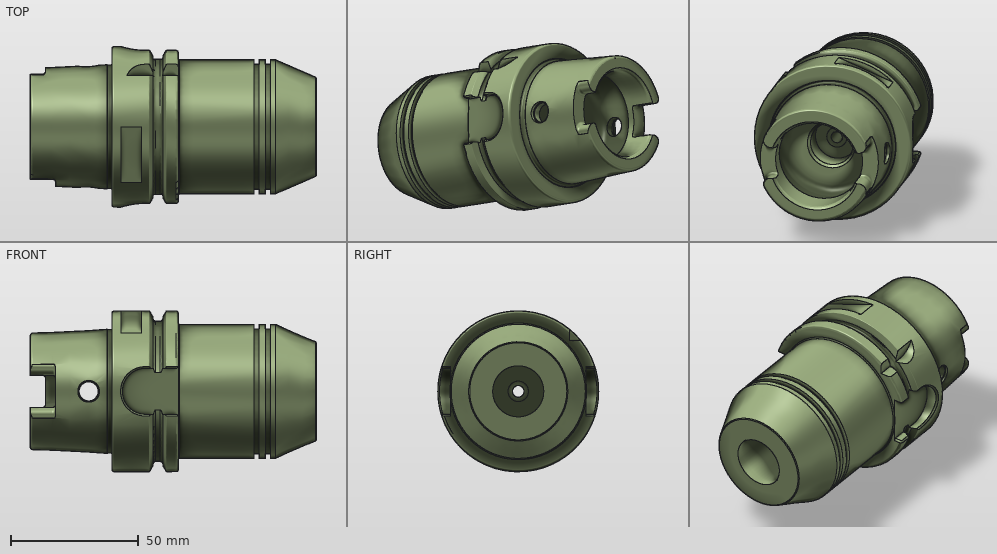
import cadquery as cq
import math


shank_length = 32.0
taper_ratio = 0.1
shank_base_diameter = 48.84
shank_tip_diameter = shank_base_diameter - taper_ratio * shank_length
shank_tip_fillet = 1.2
relief_length = 1.9
relief_depth = 0.2
relief_root_fillet = 0.7
face_recess_diameter = 51.0
face_recess_depth = 0.3

flange_diameter = 63.0
flange_width = 26.0
flange_edge_fillet = 1.0
flange_root_fillet = 0.5

groove_center = 18.0
groove_mouth_width = 6.6
groove_slot_width = 3.8
groove_flank_angle = 30.0
groove_diameter = 55.0
groove_root_fillet = 1.0
groove_edge_fillet = 0.5

nose_length = 80.0
nose_diameter = 52.5
cone_start = 64.0
nose_tip_diameter = 38.6
nose_tip_chamfer = 0.3
ring_groove_starts = (55.6, 60.0)
ring_groove_width = 2.0
ring_groove_diameter = 49.0

cavity_diameter = 34.0
cavity_mouth_diameter = 36.0
cavity_mouth_chamfer = (cavity_mouth_diameter - cavity_diameter) / 2
cavity_mouth_fillet = 1.0
cavity_floor = -2.2
cavity_floor_fillet = 4.0
undercut_diameter = 40.0
undercut_start = -19.2
undercut_flank_angle = 30.0
recess_mouth_diameter = 19.05
recess_diameter = 17.0
recess_depth = 10.0
recess_floor = cavity_floor + recess_depth
recess_chamfer = (recess_mouth_diameter - recess_diameter) / 2
tool_bore_diameter = 20.0
tool_bore_depth = 51.0
tool_bore_floor = nose_length - tool_bore_depth

sleeve_diameter = 8.0
coolant_diameter = 4.5

slot_half_width = 6.27
slot_edge_radius = 2.9
slot_root_fillet = 1.25
slot_depths = {-1: 10.0, 1: 6.0}

cross_hole_position = -9.1
cross_hole_diameter = 7.5
cross_hole_chamfer = 0.5
countersink_floor = 22.8

round_end_center = 13.1

keyway_floor = 26.5
keyway_width = 18.0
keyway_rim_chamfer = 0.7

notch_floor = 20.07
notch_bottom = 19.8
notch_radius = 8.0

flat_start = 3.6
flat_width = 7.9
flat_distance = 29.25
flat_tilt = 21.8

tolerance = 1e-4

flange_radius = flange_diameter / 2
nose_radius = nose_diameter / 2


groove_mouth_half = groove_mouth_width / 2
groove_slot_half = groove_slot_width / 2
groove_shoulder_radius = flange_radius - (groove_mouth_half - groove_slot_half) / math.tan(
    math.radians(groove_flank_angle)
)


def revolve_x(profile):
    return profile.close().revolve(360, (0, 0, 0), (1, 0, 0))


def disc(start, end, radius):
    """Cylinder along X from start to end."""
    return cq.Workplane("YZ", origin=(start, 0, 0)).circle(radius).extrude(end - start)


def circles(body, x, radius):
    """Circular edges about the X axis with the given place and radius."""

    def matches(edge):
        return math.isclose(edge.radius(), radius, abs_tol=tolerance) and math.isclose(
            edge.arcCenter().x, x, abs_tol=tolerance
        )

    return body.edges("%CIRCLE").filter(matches)


def turned_blank():
    relief_radius = shank_base_diameter / 2 - relief_depth
    blank = revolve_x(
        cq.Workplane("XY")
        .moveTo(-shank_length, 0)
        .lineTo(-shank_length, shank_tip_diameter / 2)
        .lineTo(-relief_length, (shank_base_diameter - taper_ratio * relief_length) / 2)
        .lineTo(-relief_length + relief_depth, relief_radius)
        .lineTo(face_recess_depth - relief_root_fillet, relief_radius)
        .radiusArc((face_recess_depth, relief_radius + relief_root_fillet), -relief_root_fillet)
        .lineTo(face_recess_depth, face_recess_diameter / 2 - face_recess_depth)
        .lineTo(0, face_recess_diameter / 2)
        .lineTo(0, flange_radius)
        .lineTo(flange_width, flange_radius)
        .lineTo(flange_width, nose_radius)
        .lineTo(cone_start, nose_radius)
        .lineTo(nose_length, nose_tip_diameter / 2)
        .lineTo(nose_length, 0)
    )
    blank = circles(blank, -shank_length, shank_tip_diameter / 2).fillet(shank_tip_fillet)
    blank = circles(blank, 0, flange_radius).fillet(flange_edge_fillet)
    blank = circles(blank, flange_width, flange_radius).fillet(flange_edge_fillet)
    blank = circles(blank, flange_width, nose_radius).fillet(flange_root_fillet)
    return circles(blank, nose_length, nose_tip_diameter / 2).chamfer(nose_tip_chamfer)


def cut_gripper_groove(body):
    groove = revolve_x(
        cq.Workplane("XY")
        .moveTo(groove_center - groove_mouth_half, flange_radius)
        .lineTo(groove_center - groove_slot_half, groove_shoulder_radius)
        .lineTo(groove_center - groove_slot_half, groove_diameter / 2)
        .lineTo(groove_center + groove_slot_half, groove_diameter / 2)
        .lineTo(groove_center + groove_slot_half, groove_shoulder_radius)
        .lineTo(groove_center + groove_mouth_half, flange_radius)
    )
    body = body.cut(groove)
    for side in (-1, 1):
        root_x = groove_center + side * groove_slot_half
        mouth_x = groove_center + side * groove_mouth_half
        body = circles(body, root_x, groove_diameter / 2).fillet(groove_root_fillet)
        body = circles(body, mouth_x, flange_radius).fillet(groove_edge_fillet)
    return body


def cut_ring_grooves(body):
    for start in ring_groove_starts:
        end = start + ring_groove_width
        ring = disc(start, end, nose_radius).cut(disc(start, end, ring_groove_diameter / 2))
        body = body.cut(ring)
    return body


def cut_bores(body):
    mouth_radius = cavity_diameter / 2
    undercut_radius = undercut_diameter / 2
    flank_length = (undercut_radius - mouth_radius) * math.tan(math.radians(undercut_flank_angle))
    cavity = revolve_x(
        cq.Workplane("XY")
        .moveTo(-shank_length, 0)
        .lineTo(-shank_length, mouth_radius)
        .lineTo(undercut_start, mouth_radius)
        .lineTo(undercut_start + flank_length, undercut_radius)
        .lineTo(cavity_floor, undercut_radius)
        .lineTo(cavity_floor, 0)
    )
    cavity = cavity.faces(">X").edges().fillet(cavity_floor_fillet)
    body = body.cut(cavity)
    body = circles(body, -shank_length, mouth_radius).chamfer(cavity_mouth_chamfer)
    chamfer_end = -shank_length + cavity_mouth_chamfer
    body = circles(body, chamfer_end, mouth_radius).fillet(cavity_mouth_fillet)
    body = body.cut(disc(cavity_floor, recess_floor, recess_diameter / 2))
    body = circles(body, cavity_floor, recess_diameter / 2).chamfer(recess_chamfer)
    body = body.cut(disc(tool_bore_floor, nose_length, tool_bore_diameter / 2))
    return body.cut(disc(recess_floor, tool_bore_floor, sleeve_diameter / 2))


def cut_drive_slots(body):
    """Slots across the tip whose walls roll over tangentially into the shank surface."""
    tip_radius = shank_tip_diameter / 2
    center_z = slot_half_width + slot_edge_radius
    center_y = math.sqrt((tip_radius - slot_edge_radius) ** 2 - center_z**2)
    end_angle = math.atan2(center_z, center_y)
    middle_angle = (end_angle - math.pi / 2) / 2
    arc_middle = (
        center_y + slot_edge_radius * math.cos(middle_angle),
        center_z + slot_edge_radius * math.sin(middle_angle),
    )
    arc_end = (tip_radius * math.cos(end_angle), tip_radius * math.sin(end_angle))
    outside = (flange_radius * math.cos(end_angle), flange_radius * math.sin(end_angle))
    for side, depth in slot_depths.items():
        half = (
            cq.Workplane("YZ", origin=(-shank_length, 0, 0))
            .lineTo(0, slot_half_width)
            .lineTo(side * center_y, slot_half_width)
            .threePointArc((side * arc_middle[0], arc_middle[1]), (side * arc_end[0], arc_end[1]))
            .lineTo(side * outside[0], outside[1])
            .lineTo(side * outside[0], 0)
            .close()
            .extrude(depth)
        )
        slot = half.union(half.mirror("XY")).clean()
        slot = slot.faces(">X").edges().fillet(slot_root_fillet)
        body = body.cut(slot)
    return body


def cut_cross_hole(body):
    def across(radius):
        return (
            cq.Workplane("XZ", origin=(cross_hole_position, 0, 0))
            .circle(radius)
            .extrude(flange_radius, both=True)
        )

    countersink = across(cross_hole_diameter / 2 + cross_hole_chamfer).cut(
        disc(-shank_length, 0, countersink_floor)
    )
    return body.cut(across(cross_hole_diameter / 2)).cut(countersink)


def cut_keyways(body):
    half_width = keyway_width / 2
    for side in (-1, 1):
        keyway = (
            cq.Workplane("XZ", origin=(0, side * keyway_floor, 0))
            .moveTo(flange_width, -half_width)
            .lineTo(round_end_center, -half_width)
            .threePointArc((round_end_center - half_width, 0), (round_end_center, half_width))
            .lineTo(flange_width, half_width)
            .close()
            .extrude(-side * flange_radius)
        )
        rim = cq.selectors.BoxSelector(
            (round_end_center - half_width, side * keyway_floor, -keyway_width),
            (flange_width - flange_edge_fillet, side * flange_radius, keyway_width),
        )
        body = body.cut(keyway)
        floor_plane = cq.selectors.BoxSelector(
            (0, side * (keyway_floor - tolerance), -keyway_width),
            (flange_width, side * (keyway_floor + tolerance), keyway_width),
        )
        body = body.edges(rim - floor_plane).chamfer(keyway_rim_chamfer)
    return body


def cut_orientation_notch(body):
    top = notch_bottom + 2 * notch_radius
    notch = (
        cq.Workplane("XZ", origin=(0, notch_floor, 0))
        .moveTo(flange_width, notch_bottom)
        .lineTo(round_end_center, notch_bottom)
        .radiusArc((round_end_center, top), notch_radius)
        .lineTo(flange_width, top)
        .close()
        .extrude(-flange_radius)
    )
    return body.cut(notch)


def cut_flat(body):
    block = (
        cq.Workplane("XY")
        .box(flat_width, flange_diameter, flange_radius, centered=(False, True, False))
        .translate((flat_start, 0, flat_distance))
        .rotate((0, 0, 0), (1, 0, 0), flat_tilt)
    )
    return body.cut(block)


def make_holder():
    body = cut_keyways(turned_blank())
    body = cut_gripper_groove(body)
    body = cut_ring_grooves(body)
    body = cut_bores(body)
    body = cut_drive_slots(body)
    body = cut_cross_hole(body)
    body = cut_orientation_notch(body)
    return cut_flat(body)


def make_coolant_sleeve():
    sleeve = disc(recess_floor, tool_bore_floor, sleeve_diameter / 2)
    return sleeve.cut(disc(recess_floor, tool_bore_floor, coolant_diameter / 2))


holder = make_holder()
coolant_sleeve = make_coolant_sleeve()
result = cq.Compound.makeCompound([holder.val(), coolant_sleeve.val()])